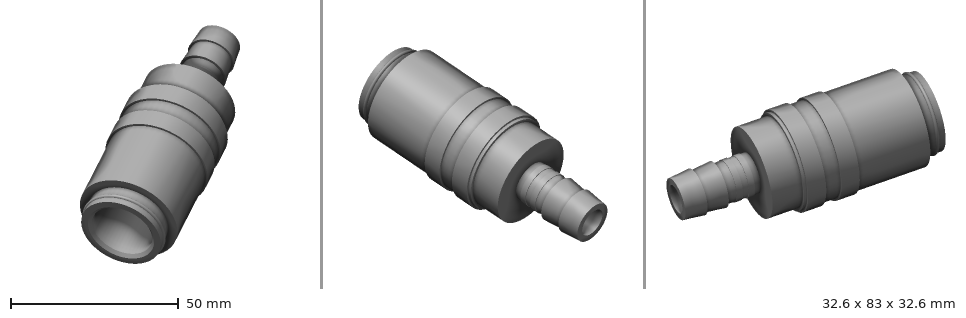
import cadquery as cq

total_length = 83.0

tail_length = 25.0
tail_radius = 6.5
barb_count = 2
barb_length = 7.0
barb_small_radius = 6.6
barb_large_radius = 7.4
ring_count = 2
ring_width = 2.0
ring_radius = 6.7

collar_length = 10.0
collar_radius = 14.5
body_radius = 15.5
spigot_length = 6.4
spigot_radius = 12.7

band_count = 2
band_width = 6.0
band_radius = 16.3
band_setback = 1.0
band_spacing = 11.0

seal_section_radius = 0.62
seal_distance = 2.6
seal_center_radius = 12.6

socket_radius = 9.55
socket_chamfer = 1.0
through_hole_radius = 4.5

tail_start = total_length - tail_length
body_end = tail_start - collar_length
socket_depth = body_end


def cylinder(start, length, radius):
    """Cylinder along +Y whose lower face is at Y = start."""
    axis = cq.Vector(0, 1, 0)
    return cq.Workplane(cq.Solid.makeCylinder(radius, length, cq.Vector(0, start, 0), axis))


def cone(start, length, start_radius, end_radius):
    """Cone frustum along +Y whose lower face is at Y = start."""
    base = cq.Vector(0, start, 0)
    return cq.Workplane(cq.Solid.makeCone(start_radius, end_radius, length, base, cq.Vector(0, 1, 0)))


part = cylinder(0, body_end, spigot_radius)
part = part.union(cylinder(spigot_length, body_end - spigot_length, body_radius))
part = part.union(cylinder(body_end, collar_length, collar_radius))

for index in range(band_count):
    band_end = body_end - band_setback - index * band_spacing
    part = part.union(cylinder(band_end - band_width, band_width, band_radius))

part = part.union(cylinder(tail_start, tail_length, tail_radius))
for index in range(ring_count):
    ring_start = tail_start + (2 * index + 1) * ring_width
    part = part.union(cylinder(ring_start, ring_width, ring_radius))
for index in range(barb_count):
    barb_start = total_length - (index + 1) * barb_length
    part = part.union(cone(barb_start, barb_length, barb_large_radius, barb_small_radius))

seal = cq.Solid.makeTorus(
    seal_center_radius, seal_section_radius, cq.Vector(0, seal_distance, 0), cq.Vector(0, 1, 0)
)
part = part.union(cq.Workplane(seal))

part = part.cut(cylinder(0, socket_depth, socket_radius))
part = part.cut(cone(0, socket_chamfer, socket_radius + socket_chamfer, socket_radius))
part = part.cut(cylinder(0, total_length, through_hole_radius))

result = part